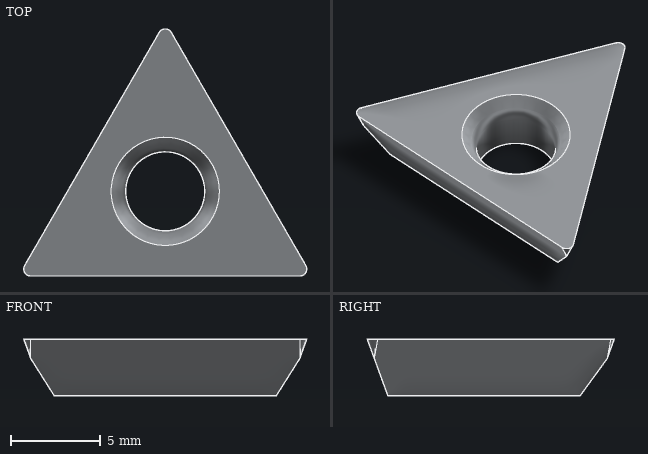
import cadquery as cq
import math

width = 15.91
thickness = 3.18
nose_radius = 0.4
relief_angle = 20.0

seat_radius = 3.04
throat_radius = 2.48
bore_radius = 2.21
countersink_depth = 0.55
blend_angle = 45.0

nose_distance = (width - 2 * nose_radius) / math.sqrt(3)
inscribed_radius = nose_distance / 2 + nose_radius
relief_slope = math.tan(math.radians(relief_angle))
nose_depth = nose_radius / relief_slope
nose_angles = (90, 210, 330)


def polar(radius, angle):
    """Point at a distance and an angle in degrees from the origin."""
    return (radius * math.cos(math.radians(angle)), radius * math.sin(math.radians(angle)))


def triangle_plate():
    """Sharp-cornered triangle narrowing from the top face at z = 0 to the base."""
    corners = [polar(2 * inscribed_radius, angle) for angle in nose_angles]
    return cq.Workplane("XY").polyline(corners).close().extrude(-thickness, taper=relief_angle)


def corner_block():
    """Kite-shaped prism between the +X nose centre and the sharp corner."""
    tangent_x, tangent_y = polar(nose_radius, 60)
    outline = [(0, 0), (tangent_x, tangent_y), (2 * nose_radius, 0), (tangent_x, -tangent_y)]
    block = cq.Workplane("XY").polyline(outline).close().extrude(-nose_depth)
    return block.translate((nose_distance, 0, 0))


def nose_cone():
    """120 degree sector of a downward-pointing cone that rounds the +X corner."""
    profile = [(0, 0), (nose_radius, 0), (0, -nose_depth)]
    cone = cq.Workplane("XZ").polyline(profile).close().revolve(120, (0, 0), (0, 1))
    turn = math.degrees(math.atan2(cone.val().Center().y, cone.val().Center().x))
    return cone.rotate((0, 0, 0), (0, 0, 1), -turn).translate((nose_distance, 0, 0))


def screw_hole():
    """Countersink cone running into the bore through a convex rounded lip."""
    blend = math.radians(blend_angle)
    blend_radius = (throat_radius - bore_radius) / (1 - math.cos(blend))
    blend_end = -countersink_depth - blend_radius * math.sin(blend)
    half_blend = blend / 2
    blend_middle = (
        bore_radius + blend_radius * (1 - math.cos(half_blend)),
        blend_end + blend_radius * math.sin(half_blend),
    )
    profile = (
        cq.Workplane("XZ")
        .lineTo(seat_radius, 0)
        .lineTo(throat_radius, -countersink_depth)
        .threePointArc(blend_middle, (bore_radius, blend_end))
        .lineTo(bore_radius, -thickness)
        .lineTo(0, -thickness)
        .close()
    )
    return profile.revolve(360, (0, 0), (0, 1))


result = triangle_plate()
for angle in nose_angles:
    result = result.cut(corner_block().rotate((0, 0, 0), (0, 0, 1), angle))
    result = result.union(nose_cone().rotate((0, 0, 0), (0, 0, 1), angle))
result = result.cut(screw_hole())